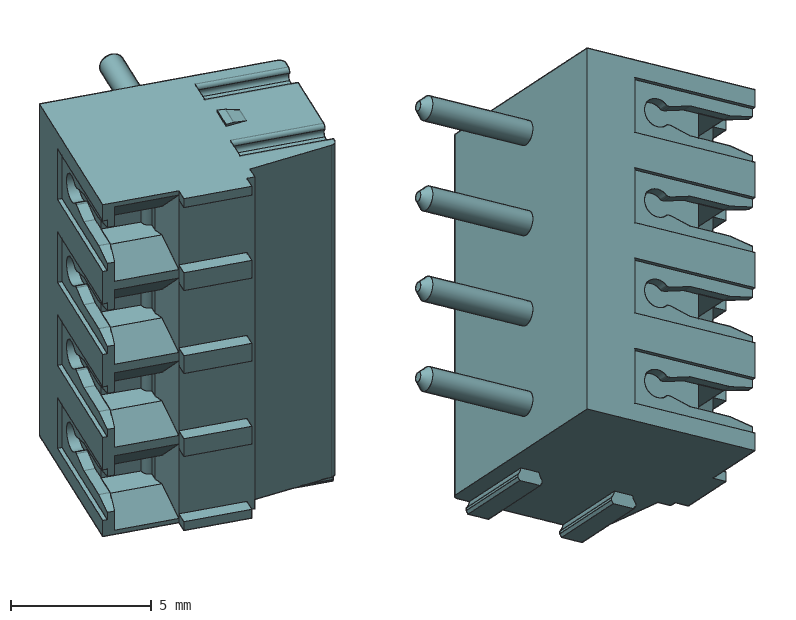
import cadquery as cq
import math

pole_count = 4
pitch = 3.5
width = 7.0
depth = 9.15
height = pole_count * pitch
shoulder_y = 5.7
flank_base_x = 6.46
flank_top_x = 5.87
corner_radius = 0.25
pole_heights = [(pole + 0.5) * pitch for pole in range(pole_count)]

pin_diameter = 0.92
pin_length = 4.5
pin_y = 4.13
pin_tip_length = 0.33
pin_tip_diameter = 0.36

tab_length = 0.55
tab_thickness = 0.75
tab_front_y = 2.85
tab_back_y = 5.4

window_left_x = 2.0
window_height = 2.13
window_depth = 0.17
keyhole_depth = 0.43
bulb_x = 3.04
bulb_radius = 0.54
neck_x = 3.58
neck_half = 0.36
neck_fillet = 0.1
throat_x = 4.4
throat_half = 0.58
flare_x = 6.06
flare_half = 0.76

chamber_left_x = 5.02
chamber_wall_lean = 0.03
chamber_half = 0.6
chamber_floor_y = 2.4
chamber_fillet = 0.3
floor_slope_x = 5.7
entry_back_y = tab_front_y
entry_half = 1.57
lip_edge_thickness = 0.28

dovetail_xs = (1.1, 5.0)
dovetail_length = 3.5
dovetail_height = 0.5
dovetail_half = 0.51
dovetail_neck_half = 0.38
dovetail_base_half = 0.43
dovetail_shoulder = 0.28
dovetail_side_height = 0.1
waist_half = 0.41
waist_drop = 0.12
groove_mouth_half = 0.55
groove_neck_half = 0.4
groove_neck_depth = 0.17

bump_height = 0.08
bump_x = 3.03
bump_front_y = 5.8
bump_crest_y = 6.1
bump_back_y = 6.6
bump_front_half = 0.5
bump_back_half = 0.38


def make_housing():
    block = (
        cq.Workplane("XY")
        .polyline([
            (0, 0),
            (width, 0),
            (width, shoulder_y),
            (flank_base_x, shoulder_y),
            (flank_top_x, depth),
            (0, depth),
        ])
        .close()
        .extrude(height)
    )
    return block.edges("|Z and >Y").fillet(corner_radius)


def make_pin(z):
    pin = (
        cq.Workplane("YZ")
        .center(pin_y, z)
        .circle(pin_diameter / 2)
        .extrude(-pin_length)
    )
    tip_inset = (pin_diameter - pin_tip_diameter) / 2
    return pin.faces("<X").chamfer(pin_tip_length, tip_inset)


def make_tab(z):
    """Divider centred at height z, trimmed to the ends of the housing."""
    bottom = max(0, z - tab_thickness / 2)
    top = min(height, z + tab_thickness / 2)
    return (
        cq.Workplane("XY", origin=(width, 0, bottom))
        .moveTo(0, tab_front_y)
        .lineTo(tab_length, tab_front_y)
        .lineTo(tab_length, tab_back_y)
        .lineTo(0, tab_back_y)
        .close()
        .extrude(top - bottom)
    )


def make_window(z):
    return cq.Workplane("XY").box(
        width - window_left_x, window_depth, window_height, centered=(False, False, True)
    ).translate((window_left_x, 0, z))


def front_plane(y, z):
    """Sketch plane parallel to the front face; extruding by -d cuts d deeper."""
    return cq.Workplane("XZ", origin=(0, y, z))


def slot_outline(plane):
    """Straight throat that flares towards the wire side."""
    return plane.polyline([
        (neck_x, neck_half),
        (throat_x, throat_half),
        (flare_x, throat_half),
        (width, flare_half),
        (width, -flare_half),
        (flare_x, -throat_half),
        (throat_x, -throat_half),
        (neck_x, -neck_half),
    ]).close()


def make_keyhole(z):
    slot = slot_outline(front_plane(window_depth, z)).extrude(-keyhole_depth)
    bulb = front_plane(window_depth, z).center(bulb_x, 0).circle(bulb_radius).extrude(-keyhole_depth)
    link = front_plane(window_depth, z).center(bulb_x, -neck_half).rect(
        neck_x - bulb_x, 2 * neck_half, centered=False
    ).extrude(-keyhole_depth)
    keyhole = slot.union(bulb).union(link)
    corner_x = bulb_x + math.sqrt(bulb_radius**2 - neck_half**2)
    corners = cq.selectors.BoxSelector(
        (corner_x - neck_fillet / 2, 0, z - bulb_radius),
        (corner_x + neck_fillet / 2, depth, z + bulb_radius),
    )
    return keyhole.edges("|Y").edges(corners).fillet(neck_fillet)


def make_chamber(z):
    """Hollow behind the keyhole, slightly wider than the throat."""
    chamber_front_y = window_depth + keyhole_depth
    wall_foot_x = chamber_left_x + chamber_wall_lean
    return (
        cq.Workplane("XY", origin=(0, 0, z - chamber_half))
        .moveTo(chamber_left_x, chamber_front_y)
        .lineTo(wall_foot_x, chamber_floor_y - chamber_fillet)
        .radiusArc((wall_foot_x + chamber_fillet, chamber_floor_y), -chamber_fillet)
        .lineTo(floor_slope_x, chamber_floor_y)
        .lineTo(width, entry_back_y)
        .lineTo(width, chamber_front_y)
        .close()
        .extrude(2 * chamber_half)
    )


def make_wire_entry(z):
    """Funnel from the wire side down to the chamber, leaving a thin lip in front."""
    slope = (entry_back_y - chamber_floor_y) / (width - floor_slope_x)
    inner_front = window_depth + keyhole_depth
    inner_back = chamber_floor_y + slope * (flare_x - floor_slope_x)
    outer_front = window_depth + lip_edge_thickness
    return (
        cq.Workplane("YZ", origin=(flare_x, 0, z))
        .center((inner_front + inner_back) / 2, 0)
        .rect(inner_back - inner_front, 2 * throat_half)
        .workplane(offset=width - flare_x)
        .center((outer_front + entry_back_y - inner_front - inner_back) / 2, 0)
        .rect(entry_back_y - outer_front, 2 * entry_half)
        .loft(ruled=True)
    )


def make_tenon(x):
    """Tenon with a curved neck and chamfered foot."""
    side_end = dovetail_shoulder + dovetail_side_height
    return (
        cq.Workplane("XZ", origin=(x, depth, 0))
        .moveTo(-dovetail_neck_half, 0)
        .threePointArc((-waist_half, -waist_drop), (-dovetail_half, -dovetail_shoulder))
        .lineTo(-dovetail_half, -side_end)
        .lineTo(-dovetail_base_half, -dovetail_height)
        .lineTo(dovetail_base_half, -dovetail_height)
        .lineTo(dovetail_half, -side_end)
        .lineTo(dovetail_half, -dovetail_shoulder)
        .threePointArc((waist_half, -waist_drop), (dovetail_neck_half, 0))
        .close()
        .extrude(dovetail_length)
    )


def make_groove(x):
    """Groove with rounded lips and undercut, hollowed side walls."""
    lip_width = groove_mouth_half - groove_neck_half
    lip_mid_half = groove_mouth_half - lip_width * math.sin(math.pi / 4)
    lip_mid_depth = groove_neck_depth * (1 - math.cos(math.pi / 4))
    hollow_depth = (groove_neck_depth + dovetail_height) / 2
    return (
        cq.Workplane("XZ", origin=(x, depth, height))
        .moveTo(-groove_mouth_half, 0)
        .threePointArc((-lip_mid_half, -lip_mid_depth), (-groove_neck_half, -groove_neck_depth))
        .threePointArc((-dovetail_half, -hollow_depth), (-dovetail_base_half, -dovetail_height))
        .lineTo(dovetail_base_half, -dovetail_height)
        .threePointArc((dovetail_half, -hollow_depth), (groove_neck_half, -groove_neck_depth))
        .threePointArc((lip_mid_half, -lip_mid_depth), (groove_mouth_half, 0))
        .close()
        .extrude(dovetail_length)
    )


def make_bump():
    """Low latch: flat crest at the front, ramp at the back, narrowing rearwards."""
    ramp = (
        cq.Workplane("YZ", origin=(bump_x, 0, height))
        .polyline([
            (bump_front_y, 0),
            (bump_front_y, bump_height),
            (bump_crest_y, bump_height),
            (bump_back_y, 0),
        ])
        .close()
        .extrude(bump_front_half, both=True)
    )
    footprint = (
        cq.Workplane("XY", origin=(bump_x, 0, height))
        .polyline([
            (-bump_front_half, bump_front_y),
            (bump_front_half, bump_front_y),
            (bump_back_half, bump_back_y),
            (-bump_back_half, bump_back_y),
        ])
        .close()
        .extrude(bump_height)
    )
    return ramp.intersect(footprint)


result = make_housing()
for pole_z in pole_heights:
    result = result.cut(make_window(pole_z))
    result = result.cut(make_keyhole(pole_z))
    result = result.cut(make_chamber(pole_z))
    result = result.cut(make_wire_entry(pole_z))
    result = result.union(make_pin(pole_z))
for tab_index in range(pole_count + 1):
    result = result.union(make_tab(tab_index * pitch))
for dovetail_x in dovetail_xs:
    result = result.cut(make_groove(dovetail_x))
    result = result.union(make_tenon(dovetail_x))
result = result.union(make_bump())